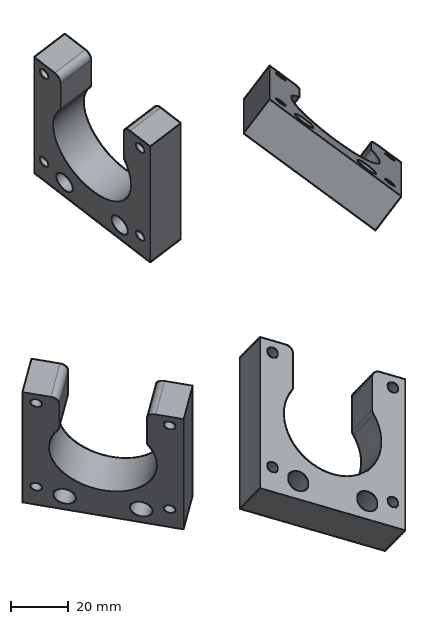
import cadquery as cq
import math

width = 57.0
depth = 15.0
height = 62.25

seat_radius = 19.1
seat_center_z = 33.6
throat_width = 31.0
neck_radius = 3.0
mouth_radius = 3.0

screw_diameter = 4.2
screw_spacing = 47.2
screw_low_z = 10.15
dowel_diameter = 8.0
dowel_spacing = 27.1
dowel_z = 7.5


def through_cylinders(centers, diameter):
    """Cylinders through the full depth at the given (x, z) centers."""
    return (
        cq.Workplane("XZ")
        .pushPoints(centers)
        .circle(diameter / 2)
        .extrude(depth / 2, both=True)
    )


def make_block():
    return cq.Workplane("XZ").rect(width, height).extrude(depth / 2, both=True).translate((0, 0, height / 2))


def cut_seat(body):
    """Cut the seat and its throat, then round the neck and mouth edges."""
    throat_height = height - seat_center_z
    throat = cq.Workplane("XY").box(throat_width, depth, throat_height, centered=(True, True, False))
    throat = throat.translate((0, 0, seat_center_z))
    body = body.cut(through_cylinders([(0, seat_center_z)], 2 * seat_radius)).cut(throat)

    half_throat = throat_width / 2
    neck_z = seat_center_z + math.sqrt(seat_radius**2 - half_throat**2)
    for edge_z, radius in ((neck_z, neck_radius), (height, mouth_radius)):
        for side in (-1, 1):
            edge_point = (side * half_throat, 0, edge_z)
            body = body.edges(cq.selectors.NearestToPointSelector(edge_point)).fillet(radius)
    return body


def cut_holes(body):
    screw_centers = [
        (side * screw_spacing / 2, z)
        for side in (-1, 1)
        for z in (screw_low_z, screw_low_z + screw_spacing)
    ]
    dowel_centers = [(side * dowel_spacing / 2, dowel_z) for side in (-1, 1)]
    body = body.cut(through_cylinders(screw_centers, screw_diameter))
    return body.cut(through_cylinders(dowel_centers, dowel_diameter))


result = cut_holes(cut_seat(make_block()))